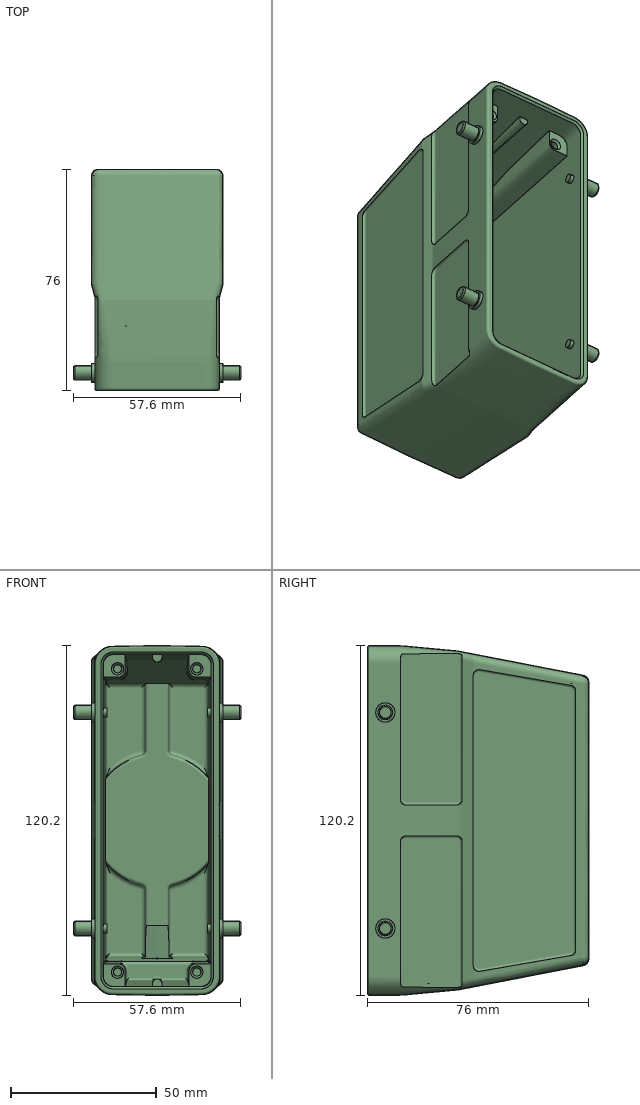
import cadquery as cq
import math

DEPTH = 76.0
CROWN = math.radians(1.0)

FRONT_HALF_WIDTH = 21.4
REAR_HALF_WIDTH = 22.6
MOUTH_HALF_HEIGHT = 60.1
MOUTH_CORNER = 6.0
REAR_CORNER = 2.5
STRAIGHT_DEPTH = 9.7
SHOULDER_START = 32.0
SHOULDER_END = 36.5
BEND_START = 30.8
BEND_END = 33.2
BEND_START_HALF_HEIGHT = 58.25
BEND_END_HALF_HEIGHT = 57.8
BACK_HALF_HEIGHT = 49.5
BACK_ROUND = 2.4
RIM_ROUND = 0.8


def between(value, start, end, start_value, end_value):
    """Linear interpolation."""
    return start_value + (end_value - start_value) * (value - start) / (end - start)


BEND_END_HALF_WIDTH = between(
    BEND_END, SHOULDER_START, SHOULDER_END, FRONT_HALF_WIDTH, REAR_HALF_WIDTH
)
SHOULDER_START_HALF_HEIGHT = between(
    SHOULDER_START, BEND_START, BEND_END, BEND_START_HALF_HEIGHT, BEND_END_HALF_HEIGHT
)
SHOULDER_END_HALF_HEIGHT = between(
    SHOULDER_END, BEND_END, DEPTH, BEND_END_HALF_HEIGHT, BACK_HALF_HEIGHT
)
OUTER_RINGS = [
    (0.0, FRONT_HALF_WIDTH, MOUTH_HALF_HEIGHT, MOUTH_CORNER),
    (STRAIGHT_DEPTH, FRONT_HALF_WIDTH, MOUTH_HALF_HEIGHT, MOUTH_CORNER),
    (12.5, FRONT_HALF_WIDTH, 59.95, 5.7),
    (BEND_START, FRONT_HALF_WIDTH, BEND_START_HALF_HEIGHT, 2.7),
    (SHOULDER_START, FRONT_HALF_WIDTH, SHOULDER_START_HALF_HEIGHT, REAR_CORNER),
    (BEND_END, BEND_END_HALF_WIDTH, BEND_END_HALF_HEIGHT, REAR_CORNER),
    (SHOULDER_END, REAR_HALF_WIDTH, SHOULDER_END_HALF_HEIGHT, REAR_CORNER),
    (DEPTH, REAR_HALF_WIDTH, BACK_HALF_HEIGHT, REAR_CORNER),
]

FLOOR = 73.5
POCKET_DEPTH = 4.0
POCKET_END = 47.1
POCKET_SIDE = 17.7
HUB_FACE = FLOOR - POCKET_DEPTH
MOUTH_CHAMFER = 0.75
WALL_WIDTH = 18.55
WALL_HEIGHT = 57.1
WALL_CORNER = 3.5
INNER_CORNER = 0.5
INNER_RINGS = [
    (0.0, WALL_WIDTH + MOUTH_CHAMFER, WALL_HEIGHT + MOUTH_CHAMFER, WALL_CORNER + MOUTH_CHAMFER),
    (MOUTH_CHAMFER, WALL_WIDTH, WALL_HEIGHT, WALL_CORNER),
    (STRAIGHT_DEPTH, 18.5, 57.0, WALL_CORNER),
    (SHOULDER_START, 18.2, 55.0, 2.0),
    (HUB_FACE, POCKET_SIDE, POCKET_END, INNER_CORNER),
]

CHANNEL_HALF_WIDTH = 3.9
HUB_RADIUS = 22.8
POCKET_CORNER = 1.8
POCKET_TAPER = 5.0
POCKET_FOOT = 1.4
HUB_EDGE_ROUND = 1.0
EDGE_MARGIN = 1.0
HUB_EDGE_MIN_Z = 10.0

RAMP_START = 36.0
RAMP_END = 48.2
RAMP_DROP = 1.4
RAMP_ROLL = 4.0
RAMP_MARGIN = 1.2

SHELF_FACE = 33.0
SHELF_EDGE = 48.4
SHELF_ROUND = 1.3
SHELF_FOOT_Z = 51.0
SHELF_FOOT = 0.8

BOSS_FACE = 8.5
BOSS_INNER_X = 11.0
BOSS_INNER_Z = 49.3
BOSS_CORNER = 2.2
BOSS_DRAFT = 1.2
SCREW_X = 13.6
SCREW_Z = 52.1
SCREW_RADIUS = 1.4
SCREW_DEPTH = 16.0
SCREW_CHAMFER = 0.7

RIB_RADIUS = 1.6
RIB_Z = 56.0
RIB_END = 38.0

RECESS_DEPTH = 1.0
RECESS_ROUND = 0.9
RECESS_CORNER = 2.0
GRIP_FRONT = 11.3
GRIP_REAR = 32.5
GRIP_INNER_Z = 5.3
LABEL_FRONT = 36.3
LABEL_REAR = 71.5
LABEL_FRONT_HALF = 52.2
LABEL_REAR_HALF = 46.1

PIN_Y = 6.1
PIN_Z = 37.1
PIN_TIP = 28.8
PIN_RADIUS = 2.5
PIN_CHAMFER = 0.5
COLLAR_RADIUS = 3.3
COLLAR_TIP = 22.6
STUB_RADIUS = 1.5
STUB_TIP = 17.2
PIN_SEAT = FRONT_HALF_WIDTH - 1.0


def ring_wire(crown, y, half_width, half_height, radius):
    """Rounded rectangle in the plane Y = y with its top and bottom sides rising by the crown angle."""
    slope = math.tan(crown)
    trim = radius * math.tan((math.pi / 2 - crown) / 2)
    corner_z = half_height - half_width * slope
    side_z = corner_z - trim
    end_x = half_width - trim * math.cos(crown)
    end_z = corner_z + trim * math.sin(crown)
    middle = math.pi / 4 + crown / 2
    mid_x = half_width - radius + radius * math.cos(middle)
    mid_z = side_z + radius * math.sin(middle)
    return (
        cq.Workplane(cq.Plane((0, y, 0), (1, 0, 0), (0, -1, 0)))
        .moveTo(half_width, -side_z)
        .lineTo(half_width, side_z)
        .threePointArc((mid_x, mid_z), (end_x, end_z))
        .lineTo(0, half_height)
        .lineTo(-end_x, end_z)
        .threePointArc((-mid_x, mid_z), (-half_width, side_z))
        .lineTo(-half_width, -side_z)
        .threePointArc((-mid_x, -mid_z), (-end_x, -end_z))
        .lineTo(0, -half_height)
        .lineTo(end_x, -end_z)
        .threePointArc((mid_x, -mid_z), (half_width, -side_z))
        .close()
        .val()
    )


def ring_loft(rings, crown):
    """Solid with flat flanks through a series of rings."""
    return cq.Workplane(cq.Solid.makeLoft([ring_wire(crown, *ring) for ring in rings], True))


def facing_back(y):
    """Workplane at Y = y whose extrusions go towards +Y; its axes are X and -Z."""
    return cq.Workplane(cq.Plane((0, y, 0), (1, 0, 0), (0, 1, 0)))


def outer_shell():
    shell = ring_loft(OUTER_RINGS, CROWN)
    shell = shell.faces(">Y").edges().fillet(BACK_ROUND)
    return shell.faces("<Y").edges().fillet(RIM_ROUND)


def floor_pocket():
    """Pocket in the +X, -Z quarter of the floor, between channel, hub and side wall."""
    channel_z = math.sqrt(HUB_RADIUS**2 - CHANNEL_HALF_WIDTH**2)
    side_z = math.sqrt(HUB_RADIUS**2 - POCKET_SIDE**2)
    bisector = (math.atan2(channel_z, CHANNEL_HALF_WIDTH) + math.atan2(side_z, POCKET_SIDE)) / 2
    arc_middle = (HUB_RADIUS * math.cos(bisector), HUB_RADIUS * math.sin(bisector))
    outline = (
        facing_back(HUB_FACE)
        .moveTo(CHANNEL_HALF_WIDTH, channel_z)
        .threePointArc(arc_middle, (POCKET_SIDE, side_z))
        .lineTo(POCKET_SIDE, POCKET_END)
        .lineTo(CHANNEL_HALF_WIDTH, POCKET_END)
        .close()
        .extrude(POCKET_DEPTH)
        .edges("|Y and <X")
        .edges(">Z")
        .fillet(POCKET_CORNER)
        .faces("<Y")
        .wires()
        .val()
    )
    pocket = facing_back(HUB_FACE).add(outline).toPending().extrude(POCKET_DEPTH, taper=POCKET_TAPER)
    return pocket.faces(">Y").edges().fillet(POCKET_FOOT)


def four_quarters(solid):
    """The solid together with its mirror images in X and in Z."""
    pair = solid.union(solid.mirror("YZ"))
    return pair.union(pair.mirror("XY"))


def channel_ramp():
    """Tool that slopes the lower end of the channel, in two halves rolled about the middle line."""
    tool = cq.Workplane()
    for side in (-1, 1):
        half = (
            cq.Workplane("YZ")
            .moveTo(HUB_FACE, -RAMP_START)
            .lineTo(HUB_FACE + RAMP_DROP, -RAMP_END)
            .lineTo(HUB_FACE - RAMP_DROP, -RAMP_END)
            .lineTo(HUB_FACE - RAMP_DROP, -RAMP_START)
            .close()
            .extrude(side * (CHANNEL_HALF_WIDTH + RAMP_MARGIN))
            .rotate((0, HUB_FACE, 0), (0, HUB_FACE, 1), side * RAMP_ROLL)
        )
        tool = tool.add(half)
    return tool.combine()


def edges_across(solid, y, low_z, high_z):
    """Edges with their middle at depth y, between two heights and inside the side walls."""
    x_limit = POCKET_SIDE - EDGE_MARGIN
    margin = 0.01
    box = cq.selectors.BoxSelector((-x_limit, y - margin, low_z), (x_limit, y + margin, high_z))
    return solid.edges(box)


def cavity():
    space = ring_loft(INNER_RINGS, 0.0)
    space = space.union(four_quarters(floor_pocket()))
    edge_limit = POCKET_END - EDGE_MARGIN
    upper_edges = edges_across(space, HUB_FACE, HUB_EDGE_MIN_Z, edge_limit)
    lower_edges = edges_across(space, HUB_FACE, -edge_limit, -HUB_EDGE_MIN_Z)
    hub_edges = upper_edges.add(lower_edges)
    space = hub_edges.fillet(HUB_EDGE_ROUND)
    return space.union(channel_ramp())


def screw_boss():
    """Boss in the +X, -Z corner, running from its face into the back wall."""
    size_x = REAR_HALF_WIDTH + BOSS_CORNER - BOSS_INNER_X
    size_z = MOUTH_HALF_HEIGHT + BOSS_CORNER - BOSS_INNER_Z
    outline = cq.Sketch().rect(size_x, size_z).vertices().fillet(BOSS_CORNER)
    return (
        facing_back(BOSS_FACE)
        .center(BOSS_INNER_X + size_x / 2, BOSS_INNER_Z + size_z / 2)
        .placeSketch(outline)
        .extrude(HUB_FACE - BOSS_FACE, taper=-BOSS_DRAFT)
    )


def screw_hole():
    hole = facing_back(BOSS_FACE).center(SCREW_X, SCREW_Z).circle(SCREW_RADIUS).extrude(SCREW_DEPTH)
    mouth = cq.Solid.makeCone(
        SCREW_RADIUS + SCREW_CHAMFER,
        SCREW_RADIUS,
        SCREW_CHAMFER,
        cq.Vector(SCREW_X, BOSS_FACE, -SCREW_Z),
        cq.Vector(0, 1, 0),
    )
    return hole.union(cq.Workplane(mouth))


def end_shelf():
    """Block filling the lower end of the cavity behind the shelf face."""
    return (
        facing_back(SHELF_FACE)
        .center(0, (SHELF_EDGE + MOUTH_HALF_HEIGHT) / 2)
        .rect(2 * POCKET_SIDE, MOUTH_HALF_HEIGHT - SHELF_EDGE)
        .extrude(FLOOR - SHELF_FACE)
        .edges("<Y and >Z")
        .fillet(SHELF_ROUND)
    )


def guide_rib():
    wall = MOUTH_HALF_HEIGHT - RIB_Z
    plane = facing_back(BOSS_FACE)
    length = RIB_END - BOSS_FACE
    round_top = plane.center(0, RIB_Z).circle(RIB_RADIUS).extrude(length)
    web = plane.center(0, RIB_Z + wall / 2).rect(2 * RIB_RADIUS, wall).extrude(length)
    return round_top.union(web)


def side_recess(outline, half_width):
    """Recess with rounded floor edges, cut into the +X side from a closed YZ outline."""
    tool = outline.extrude(2 * RECESS_DEPTH).edges("|X").fillet(RECESS_CORNER)
    tool = tool.faces("<X").edges().fillet(RECESS_ROUND)
    return tool.translate((half_width - RECESS_DEPTH, 0, 0))


def side_recesses():
    grip_length = 2 * MOUTH_HALF_HEIGHT
    grip = cq.Workplane("YZ").center((GRIP_FRONT + GRIP_REAR) / 2, GRIP_INNER_Z + grip_length / 2)
    grip = side_recess(grip.rect(GRIP_REAR - GRIP_FRONT, grip_length), FRONT_HALF_WIDTH)
    label = (
        cq.Workplane("YZ")
        .moveTo(LABEL_FRONT, -LABEL_FRONT_HALF)
        .lineTo(LABEL_REAR, -LABEL_REAR_HALF)
        .lineTo(LABEL_REAR, LABEL_REAR_HALF)
        .lineTo(LABEL_FRONT, LABEL_FRONT_HALF)
        .close()
    )
    label = side_recess(label, REAR_HALF_WIDTH)
    recesses = grip.union(grip.mirror("XY")).union(label)
    return recesses.union(recesses.mirror("YZ"))


def locking_pin():
    """Pin on the +X, +Z side: outer shank with collar, and a stub inside the cavity."""
    start = cq.Workplane(cq.Plane((STUB_TIP, PIN_Y, PIN_Z), (0, 1, 0), (1, 0, 0)))
    seat = start.workplane(offset=PIN_SEAT - STUB_TIP)
    stub = start.circle(STUB_RADIUS).extrude(FRONT_HALF_WIDTH - STUB_TIP)
    collar = seat.circle(COLLAR_RADIUS).extrude(COLLAR_TIP - PIN_SEAT)
    shank = seat.circle(PIN_RADIUS).extrude(PIN_TIP - PIN_SEAT)
    shank = shank.faces(">X").chamfer(PIN_CHAMFER)
    return stub.union(collar).union(shank)


outer = outer_shell()
rib = guide_rib()
fillings = four_quarters(screw_boss()).union(rib).union(rib.mirror("XY")).union(end_shelf())
space = cavity().cut(fillings)
body = outer.cut(space)
body = edges_across(body, SHELF_FACE, -MOUTH_HALF_HEIGHT, -SHELF_FOOT_Z).fillet(SHELF_FOOT)
body = body.cut(four_quarters(screw_hole())).cut(side_recesses())
result = body.union(four_quarters(locking_pin()))